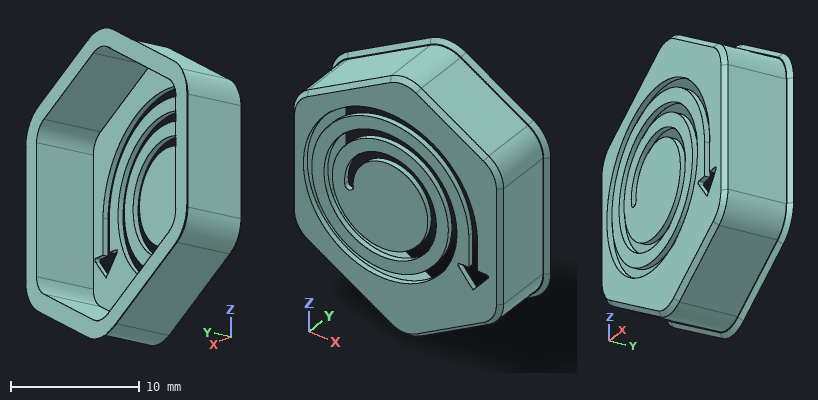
import cadquery as cq
import math

depth = 6.0
body_apothem = 10.92
right_side = 9.43
corner_radius = 2.9
front_chamfer = 0.4
wall = 0.99
plate_thickness = 0.5

lip_depth = 0.4
lip_outset = 0.48
lip_step = lip_outset - lip_depth

slot_width = 0.8
spiral_center_x = -1.75
spiral_start_radius = 3.51
spiral_pitch = 2.0
spiral_turns = 2.5
spiral_samples = 60
shoulder_z = -3.03
arrow_length = 1.95
arrow_half_width = 1.65
arrow_corner_radius = 0.15

slot_end_x = spiral_center_x + spiral_start_radius + spiral_pitch * spiral_turns


def hexagon_prism(outset, y_start, length):
    """Rounded hexagon grown by `outset`, extruded toward +Y."""
    apothem = body_apothem + outset
    left = -apothem
    right = right_side + outset
    slope = math.radians(30)

    def sloping_side_z(x):
        return (apothem - abs(x) * math.sin(slope)) / math.cos(slope)

    upper = [(left, sloping_side_z(left)), (0, sloping_side_z(0)), (right, sloping_side_z(right))]
    lower = [(x, -z) for x, z in reversed(upper)]
    return (
        cq.Workplane("XZ", origin=(0, y_start, 0))
        .polyline(upper + lower)
        .close()
        .extrude(-length)
        .edges("|Y")
        .fillet(corner_radius + outset)
    )


def lip():
    """Lip whose outline widens at 45 degrees up to the back face."""
    block = hexagon_prism(lip_step, depth - lip_depth, lip_depth)
    return block.faces("<Y").wires().toPending().workplane(invert=True).extrude(lip_depth, taper=-45)


def spiral_point(fraction, radial_offset):
    """Point on the clockwise spiral, starting at the left of its center."""
    turns = fraction * spiral_turns
    angle = math.pi - 2 * math.pi * turns
    radius = spiral_start_radius + spiral_pitch * turns + radial_offset
    return (spiral_center_x + radius * math.cos(angle), radius * math.sin(angle))


def spiral_slot():
    """Spiral slot with a round inner end."""
    half = slot_width / 2
    fractions = [i / spiral_samples for i in range(spiral_samples + 1)]
    inner_edge = [spiral_point(f, -half) for f in fractions]
    outer_edge = [spiral_point(f, half) for f in fractions]
    round_end = (spiral_center_x - spiral_start_radius, -half)
    return (
        cq.Workplane("XZ")
        .moveTo(*inner_edge[0])
        .threePointArc(round_end, outer_edge[0])
        .spline(outer_edge[1:], includeCurrent=True)
        .lineTo(*inner_edge[-1])
        .spline(inner_edge[-2::-1], includeCurrent=True)
        .close()
        .extrude(-plate_thickness)
    )


def arrow():
    """Straight shaft running down from the spiral's end into a triangular head."""
    shaft = (
        cq.Workplane("XZ")
        .center(slot_end_x, shoulder_z / 2)
        .rect(slot_width, -shoulder_z)
        .extrude(-plate_thickness)
    )
    shoulders = [(slot_end_x + side * arrow_half_width, shoulder_z) for side in (-1, 1)]
    head = (
        cq.Workplane("XZ")
        .polyline(shoulders + [(slot_end_x, shoulder_z - arrow_length)])
        .close()
        .extrude(-plate_thickness)
        .edges("|Y and (>X or <X)")
        .fillet(arrow_corner_radius)
    )
    return shaft.union(head)


body = hexagon_prism(0, 0, depth).faces("<Y").chamfer(front_chamfer)
cavity = hexagon_prism(-wall, plate_thickness, depth - plate_thickness)
result = body.union(lip()).cut(cavity).cut(spiral_slot().union(arrow()))